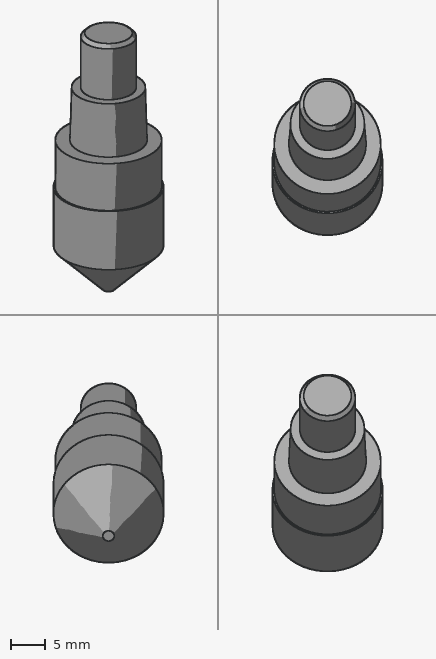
import cadquery as cq

total_height = 41.25
joint_height = 16.5
collar_top = 24.05
taper_top = 32.5

point_radius = 15.9 / 2
flat_radius = 0.82
cone_height = point_radius - flat_radius

collar_radius = 7.67
taper_base_radius = 5.55
taper_top_radius = 5.32
pin_radius = 4.0
pin_chamfer = 0.58


def revolve_profile(profile):
    """Turn a (radius, height) outline about the Z axis into one solid."""
    return cq.Workplane("XZ").polyline(profile).close().revolve(360, (0, 0, 0), (0, 1, 0))


def make_point():
    """Cylinder ending in a blunted cone that faces down."""
    return revolve_profile([
        (0, 0),
        (flat_radius, 0),
        (point_radius, cone_height),
        (point_radius, joint_height),
        (0, joint_height),
    ])


def make_shank():
    """Collar, slightly tapered neck and chamfered pin in one piece."""
    return revolve_profile([
        (0, joint_height),
        (collar_radius, joint_height),
        (collar_radius, collar_top),
        (taper_base_radius, collar_top),
        (taper_top_radius, taper_top),
        (pin_radius, taper_top),
        (pin_radius, total_height - pin_chamfer),
        (pin_radius - pin_chamfer, total_height),
        (0, total_height),
    ])


point = make_point()
shank = make_shank()

result = cq.Compound.makeCompound([point.val(), shank.val()])